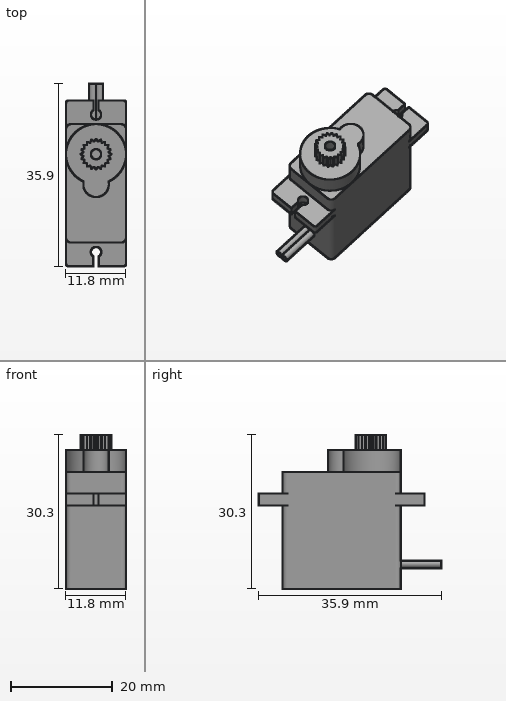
import cadquery as cq
import math

case_width = 11.8
case_length = 23.25
case_height = 23.0
case_corner_radius = 1.0
back_y = case_length / 2

ear_length = 4.65
flange_bottom = 16.4
flange_thickness = 2.37
flange_corner_radius = 0.5
flange_length = case_length + 2 * ear_length
screw_hole_diameter = 2.0
screw_hole_inset = 2.8
screw_slot_width = 1.0

cover_height = 4.3
cover_radius = case_width / 2
lobe_radius = 2.5
cover_y = back_y - cover_radius
lobe_y = cover_y - cover_radius
cover_top = case_height + cover_height

shaft_height = 2.98
tooth_count = 20
tooth_tip_radius = 3.0
tooth_root_radius = 2.5
shaft_bore_diameter = 2.0

overall_length = 35.9
wire_diameter = 1.5
wire_spacing = 1.3
wire_height = 4.85
cable_length = overall_length - case_length - ear_length


def make_flange():
    """Plate with a keyhole screw slot open at each end."""
    plate = (
        cq.Workplane("XY", origin=(0, 0, flange_bottom))
        .rect(case_width, flange_length)
        .extrude(flange_thickness)
        .edges("|Z")
        .fillet(flange_corner_radius)
    )
    hole_y = flange_length / 2 - screw_hole_inset
    for end in (-1, 1):
        slot_y = end * (hole_y + screw_hole_inset / 2)
        hole = (
            cq.Workplane("XY", origin=(0, end * hole_y, flange_bottom))
            .circle(screw_hole_diameter / 2)
            .extrude(flange_thickness)
        )
        slot = (
            cq.Workplane("XY", origin=(0, slot_y, flange_bottom))
            .rect(screw_slot_width, screw_hole_inset)
            .extrude(flange_thickness)
        )
        plate = plate.cut(hole).cut(slot)
    return plate


def make_gear_cover():
    """Large disc and small lobe joined on top of the case."""
    disc = (
        cq.Workplane("XY", origin=(0, cover_y, case_height))
        .circle(cover_radius)
        .extrude(cover_height)
    )
    lobe = (
        cq.Workplane("XY", origin=(0, lobe_y, case_height))
        .circle(lobe_radius)
        .extrude(cover_height)
    )
    return disc.union(lobe)


def make_housing():
    """Case, mounting flange and gear cover as one solid."""
    case = (
        cq.Workplane("XY")
        .rect(case_width, case_length)
        .extrude(case_height)
        .edges("|Z")
        .fillet(case_corner_radius)
    )
    return case.union(make_flange()).union(make_gear_cover())


def make_output_shaft():
    """Spline with pointed teeth, bored along its full height."""
    half_pitch = math.pi / tooth_count
    outline = []
    for corner in range(2 * tooth_count):
        radius = tooth_tip_radius if corner % 2 == 0 else tooth_root_radius
        angle = corner * half_pitch
        outline.append((radius * math.cos(angle), radius * math.sin(angle)))
    base = cq.Workplane("XY", origin=(0, cover_y, cover_top))
    spline = base.polyline(outline).close().extrude(shaft_height)
    bore = base.circle(shaft_bore_diameter / 2).extrude(shaft_height)
    return spline.cut(bore)


def make_wire(x):
    """One round wire running along +Y from the case back."""
    return (
        cq.Workplane("XZ", origin=(x, back_y, wire_height))
        .circle(wire_diameter / 2)
        .extrude(-cable_length)
    )


def make_cable():
    """Two wires whose insulation merges into one solid."""
    left_wire = make_wire(-wire_spacing / 2)
    right_wire = make_wire(wire_spacing / 2)
    return left_wire.union(right_wire)


housing = make_housing()
output_shaft = make_output_shaft()
cable = make_cable()

bodies = (housing, output_shaft, cable)
result = cq.Compound.makeCompound([body.solids().val() for body in bodies])